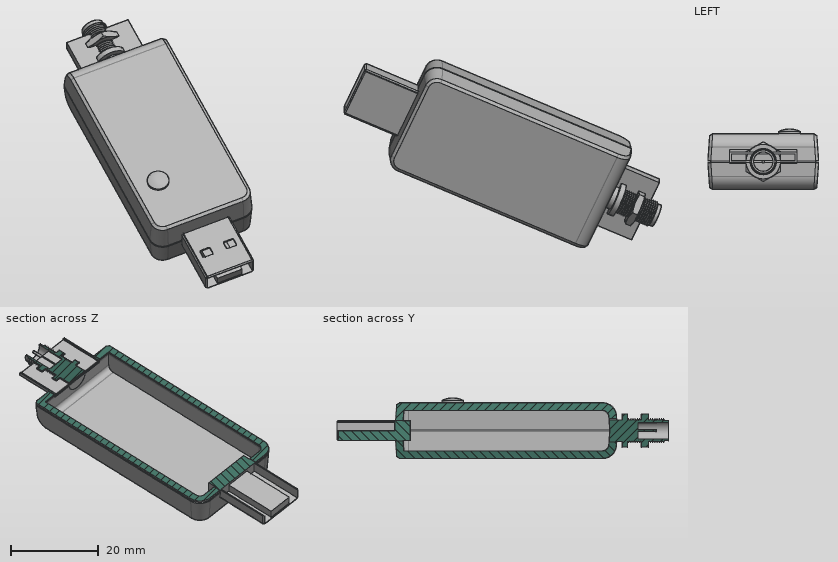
import cadquery as cq
import math


CASE_LENGTH = 50.9
CASE_WIDTH = 25.36
CASE_HALF_HEIGHT = 6.4
SEAM_GAP = 0.4
SEAM_DEPTH = 0.65
DRAFT_ANGLE = 4.0
PLUG_END_CORNER_RADIUS = 3.2
CONNECTOR_END_RADIUS = 3.25
EDGE_CHAMFER_HEIGHT = 0.45
EDGE_CHAMFER_WIDTH = 0.7
WALL = 1.8

BUTTON_X = 37.65
BUTTON_Y = -6.0
BUTTON_RADIUS = 2.5
BUTTON_RIM_HEIGHT = 0.5
BUTTON_TOP = 7.49

PLUG_END_X = 64.13
PLUG_START_X = CASE_LENGTH - 2 * WALL
PLUG_WIDTH = 12.05
PLUG_HEIGHT = 4.6
PLUG_EDGE_CHAMFER = 0.45
PLUG_END_CHAMFER = 0.3
PLUG_SHEET = 0.4
PLUG_TONGUE_WIDTH = 6.2
PLUG_TONGUE_TOP = 0.0
WINDOW_X = 57.65
WINDOW_Y = 2.95
WINDOW_LENGTH = 2.1
WINDOW_WIDTH = 2.5
WINDOW_CORNER_RADIUS = 0.3

SLEEVE_FRONT_X = -8.9
SLEEVE_WIDTH = 15.4
SLEEVE_BOTTOM = -0.2
SLEEVE_TOP = 2.25
SLEEVE_WALL = 0.45

SLOT_BOTTOM = -0.4
SLOT_TOP = 2.76
SLOT_CORNER_RADIUS = SLEEVE_BOTTOM - SLOT_BOTTOM

TIP_X = -11.69
TIP_LENGTH = 0.9
TIP_RADIUS = 2.65
THREAD_LENGTH = 8.5
THREAD_RADIUS = 3.0
THREAD_ROOT_RADIUS = 2.7
THREAD_TURNS = 17
FLANGE_LENGTH = 1.25
FLANGE_RADIUS = 4.0
NECK_RADIUS = 2.8
NUT_X = -7.1
NUT_LENGTH = 1.7
NUT_ACROSS_FLATS = 7.85
NUT_CONE_LENGTH = 0.25
NUT_CONE_DEPTH = 0.6
BORE_RADIUS = 2.2
BORE_DEPTH = 7.0
PIN_RADIUS = 0.3
PIN_SETBACK = 0.2

NUT_ACROSS_CORNERS = NUT_ACROSS_FLATS / math.cos(math.pi / 6)
THREAD_X = TIP_X + TIP_LENGTH
THREAD_PITCH = THREAD_LENGTH / THREAD_TURNS
FLANGE_X = THREAD_X + THREAD_LENGTH
NECK_X = FLANGE_X + FLANGE_LENGTH
NECK_LENGTH = WALL - NECK_X


def block(x_start, x_end, width, z_bottom, z_top):
    """Box centred on Y = 0 between the given X and Z limits."""
    return cq.Workplane("XY").box(
        x_end - x_start, width, z_top - z_bottom, centered=(False, True, False)
    ).translate((x_start, 0, z_bottom))


def cylinder_along_x(x_start, length, radius):
    return cq.Workplane("YZ", origin=(x_start, 0, 0)).circle(radius).extrude(length)


def plan(inset):
    """Plan of the case at the seam, moved inwards by inset."""
    return (
        cq.Sketch()
        .rect(CASE_LENGTH - 2 * inset, CASE_WIDTH - 2 * inset)
        .vertices(">X")
        .fillet(PLUG_END_CORNER_RADIUS - inset)
    )


def plan_extrusion(inset, z_bottom, z_top, draft=0):
    return (
        cq.Workplane("XY", origin=(CASE_LENGTH / 2, 0, z_bottom))
        .placeSketch(plan(inset))
        .extrude(z_top - z_bottom, taper=draft)
    )


def drafted_half(inset):
    """Solid upper half of the case, drafted inwards from the seam to its top."""
    form = plan_extrusion(inset, SEAM_GAP / 2, CASE_HALF_HEIGHT - inset, DRAFT_ANGLE)
    return form.faces(">Z").edges("<X").fillet(CONNECTOR_END_RADIUS - inset)


def half_shell():
    """Hollow upper half of the case, ending at the seam."""
    outside = drafted_half(0).faces(">Z").edges()
    outside = outside.chamfer(EDGE_CHAMFER_HEIGHT, EDGE_CHAMFER_WIDTH)
    return outside.cut(drafted_half(WALL))


def seam_lip():
    """Rim set back from the outside that closes the seam between the halves."""
    outer = plan_extrusion(SEAM_DEPTH, -SEAM_GAP / 2, SEAM_GAP / 2)
    inner = plan_extrusion(WALL, -SEAM_GAP / 2, SEAM_GAP / 2)
    return outer.cut(inner)


def plug_form():
    """Outside of the USB plug, also the shape of its opening in the case."""
    form = block(PLUG_START_X, PLUG_END_X, PLUG_WIDTH, -PLUG_HEIGHT / 2, PLUG_HEIGHT / 2)
    return form.edges("|X").chamfer(PLUG_EDGE_CHAMFER)


def case_openings():
    """Openings through the end walls for the connector and the USB plug."""
    slot = block(0, WALL, SLEEVE_WIDTH, SLOT_BOTTOM, SLOT_TOP)
    slot = slot.edges("|X").fillet(SLOT_CORNER_RADIUS)
    return slot.union(cylinder_along_x(0, WALL, NECK_RADIUS)).union(plug_form())


def push_button():
    """Domed button whose stem fills a hole through the top of the case."""
    stem_bottom = CASE_HALF_HEIGHT - WALL
    rim_top = CASE_HALF_HEIGHT + BUTTON_RIM_HEIGHT
    rise = BUTTON_TOP - rim_top
    dome_radius = (BUTTON_RADIUS**2 + rise**2) / (2 * rise)
    half_angle = math.asin(BUTTON_RADIUS / dome_radius) / 2
    arc_middle = (
        dome_radius * math.sin(half_angle),
        BUTTON_TOP - dome_radius * (1 - math.cos(half_angle)),
    )
    return (
        cq.Workplane("XZ")
        .moveTo(0, stem_bottom)
        .lineTo(BUTTON_RADIUS, stem_bottom)
        .lineTo(BUTTON_RADIUS, rim_top)
        .threePointArc(arc_middle, (0, BUTTON_TOP))
        .close()
        .revolve(360, (0, 0, 0), (0, 1, 0))
        .translate((BUTTON_X, BUTTON_Y, 0))
    )


def usb_plug():
    """Sheet-metal plug shell with two windows on top and a tongue inside."""
    plug = plug_form().faces(">X").edges().chamfer(PLUG_END_CHAMFER)
    cavity_height = PLUG_HEIGHT / 2 - PLUG_SHEET
    cavity = block(CASE_LENGTH, PLUG_END_X, PLUG_WIDTH - 2 * PLUG_SHEET,
                   -cavity_height, cavity_height)
    plug = plug.cut(cavity)
    tongue_end = PLUG_END_X - PLUG_END_CHAMFER
    plug = plug.union(
        block(CASE_LENGTH, tongue_end, PLUG_TONGUE_WIDTH, -cavity_height, PLUG_TONGUE_TOP)
    )
    for side in (-1, 1):
        window = block(WINDOW_X - WINDOW_LENGTH / 2, WINDOW_X + WINDOW_LENGTH / 2,
                       WINDOW_WIDTH, cavity_height, PLUG_HEIGHT / 2)
        window = window.edges("|Z").fillet(WINDOW_CORNER_RADIUS)
        plug = plug.cut(window.translate((0, side * WINDOW_Y, 0)))
    return plug


def threaded_barrel():
    """Plain tip followed by V-shaped ridges, revolved about the X axis."""
    profile = cq.Workplane("XY").moveTo(TIP_X, 0).lineTo(TIP_X, TIP_RADIUS)
    profile = profile.lineTo(THREAD_X, TIP_RADIUS).lineTo(THREAD_X, THREAD_ROOT_RADIUS)
    for turn in range(THREAD_TURNS):
        ridge_start = THREAD_X + turn * THREAD_PITCH
        profile = profile.lineTo(ridge_start + THREAD_PITCH / 2, THREAD_RADIUS)
        profile = profile.lineTo(ridge_start + THREAD_PITCH, THREAD_ROOT_RADIUS)
    profile = profile.lineTo(FLANGE_X, 0).close()
    return profile.revolve(360, (0, 0, 0), (1, 0, 0))


def hex_nut():
    """Nut with corners up and down, both ends turned to a cone at the corners."""
    nut = (
        cq.Workplane("YZ", origin=(NUT_X, 0, 0))
        .transformed(rotate=(0, 0, 90))
        .polygon(6, NUT_ACROSS_CORNERS)
        .extrude(NUT_LENGTH)
    )
    corner_radius = NUT_ACROSS_CORNERS / 2
    end_radius = corner_radius - NUT_CONE_DEPTH
    nut_end = NUT_X + NUT_LENGTH
    turned = (
        cq.Workplane("XY")
        .moveTo(NUT_X, 0)
        .lineTo(NUT_X, end_radius)
        .lineTo(NUT_X + NUT_CONE_LENGTH, corner_radius)
        .lineTo(nut_end - NUT_CONE_LENGTH, corner_radius)
        .lineTo(nut_end, end_radius)
        .lineTo(nut_end, 0)
        .close()
        .revolve(360, (0, 0, 0), (1, 0, 0))
    )
    return nut.intersect(turned)


def coaxial_connector():
    """Bored connector with centre pin, nut and flange, and the flat sleeve crossing it."""
    body = threaded_barrel().union(hex_nut())
    body = body.union(cylinder_along_x(FLANGE_X, FLANGE_LENGTH, FLANGE_RADIUS))
    body = body.union(cylinder_along_x(NECK_X, NECK_LENGTH, NECK_RADIUS))
    body = body.cut(cylinder_along_x(TIP_X, BORE_DEPTH, BORE_RADIUS))
    body = body.union(cylinder_along_x(TIP_X + PIN_SETBACK, BORE_DEPTH - PIN_SETBACK, PIN_RADIUS))
    sleeve = block(SLEEVE_FRONT_X, WALL, SLEEVE_WIDTH, SLEEVE_BOTTOM, SLEEVE_TOP)
    hollow = block(SLEEVE_FRONT_X, WALL, SLEEVE_WIDTH - 2 * SLEEVE_WALL,
                   SLEEVE_BOTTOM + SLEEVE_WALL, SLEEVE_TOP - SLEEVE_WALL)
    return body.union(sleeve.cut(hollow))


button = push_button()
plug = usb_plug()
connector = coaxial_connector()
upper_half = half_shell().cut(case_openings()).cut(button)
lower_half = half_shell().mirror("XY").union(seam_lip()).cut(case_openings())

result = cq.Compound.makeCompound(
    [upper_half.val(), lower_half.val(), button.val(), plug.val(), connector.val()]
)